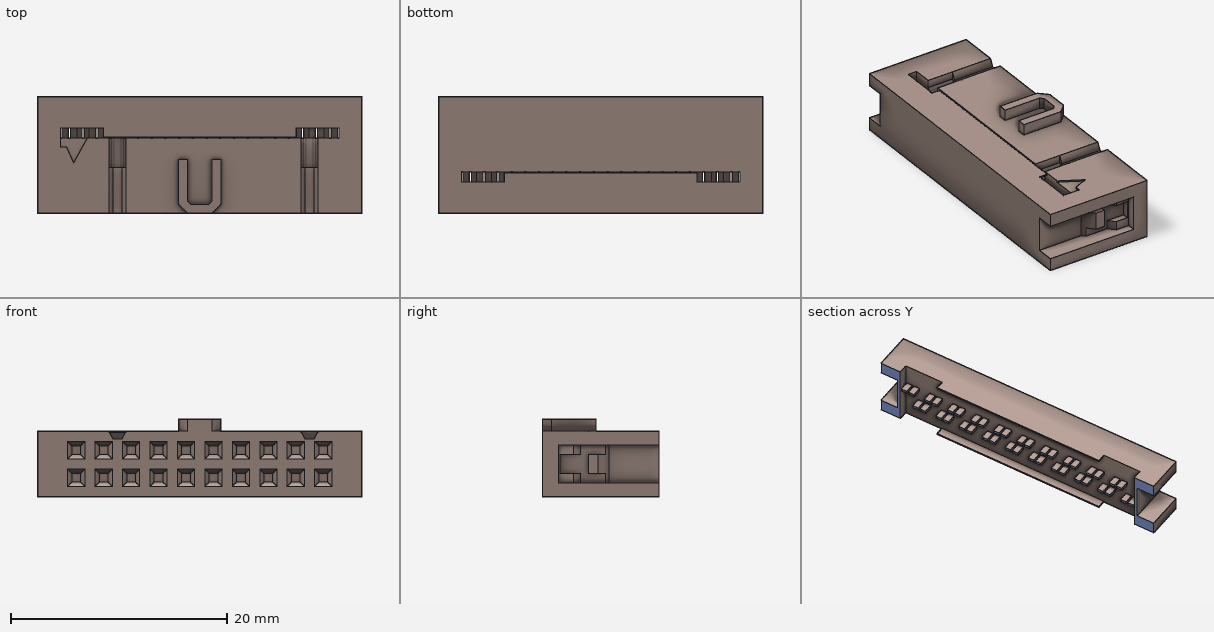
import cadquery as cq


LENGTH = 30.0
DEPTH = 10.8
HEIGHT = 7.2
BODY_HEIGHT = 6.1
PLATE = 1.3
MID_HEIGHT = BODY_HEIGHT / 2
HALF_LENGTH = LENGTH / 2

COLUMNS = 10
COLUMN_SPAN = 22.85
PITCH = COLUMN_SPAN / (COLUMNS - 1)
ROW_HEIGHTS = (MID_HEIGHT - PITCH / 2, MID_HEIGHT + PITCH / 2)

FUNNEL_MOUTH = 1.6
FUNNEL_FLOOR = 0.8
FUNNEL_DEPTH = (FUNNEL_MOUTH - FUNNEL_FLOOR) / 2

KEY_WIDTH = 3.93
KEY_LENGTH = 4.98
KEY_WALL = 0.85
KEY_INNER_CHAMFER = 0.3

GAP_FRONT = 6.95
GAP_BACK = 7.9
WINDOW_INNER_X = 8.9
WINDOW_OUTER_X = 12.87
SLIT_WIDTH = 0.1
LIP_THICKNESS = 0.12

FORK_WIDTH = 1.4
FORK_SLOT = 0.18
FORK_THICKNESS = 0.3
FORK_ROW_SPACING = 1.5

GROOVE_CENTRES = (-3 * PITCH, 4 * PITCH)
GROOVE_TOP = 1.6
GROOVE_FLOOR = 0.85
GROOVE_DEPTH = 0.72
DEEP_START = 4.25
DEEP_WALL = 0.78
DEEP_SLOPE_WIDTH = 0.33
DEEP_SLOPE_DROP = 0.35
DEEP_FILLET = 0.3

MARK_DEPTH = 0.15
MARK_SHOULDER = (-12.33, 6.15)
MARK_TIP = (-11.67, 4.68)
MARK_RIGHT = -10.4

RECESS_FRONT = 1.5
RAMP_START = 6.18
RAMP_END = 5.85
LATCH_BACK = 5.15
LATCH_FRONT = 4.25
STOP_BACK = 3.5
STOP_FRONT = 2.88
CHANNEL_FRONT = 1.65
CHANNEL_HEIGHT = 1.75
COVER_LEVEL = 1.8
WALL_LEVEL = COVER_LEVEL - (RAMP_START - RAMP_END)
LATCH_LEVEL = COVER_LEVEL - (RAMP_START - LATCH_BACK)
STOP_LEVEL = WALL_LEVEL - (STOP_BACK - STOP_FRONT)


def box(x_range, y_range, z_range):
    """Block between pairs of limits along X, Y and Z."""
    (x0, x1), (y0, y1), (z0, z1) = x_range, y_range, z_range
    return cq.Workplane("XY").box(x1 - x0, y1 - y0, z1 - z0, centered=False).translate((x0, y0, z0))


def key():
    half = KEY_WIDTH / 2
    inner = half - KEY_WALL
    right_side = [
        (inner, KEY_WALL + KEY_INNER_CHAMFER),
        (inner, KEY_LENGTH),
        (half, KEY_LENGTH),
        (half, KEY_WALL),
        (inner, 0),
    ]
    left_side = [(-x, y) for x, y in reversed(right_side)]
    inner_floor = inner - KEY_INNER_CHAMFER
    outline = right_side + left_side + [(-inner_floor, KEY_WALL), (inner_floor, KEY_WALL)]
    return (
        cq.Workplane("XY").workplane(offset=BODY_HEIGHT)
        .polyline(outline).close().extrude(HEIGHT - BODY_HEIGHT)
    )


def column_x(column):
    return -COLUMN_SPAN / 2 + column * PITCH


def funnels():
    """Square openings in the mating face that narrow to a flat floor."""
    centres = [(column_x(column), z) for column in range(COLUMNS) for z in ROW_HEIGHTS]
    cutters = cq.Workplane("XZ")
    for x, z in centres:
        funnel = (
            cq.Workplane("XZ").center(x, z).rect(FUNNEL_MOUTH, FUNNEL_MOUTH)
            .workplane(offset=-FUNNEL_DEPTH).rect(FUNNEL_FLOOR, FUNNEL_FLOOR)
            .loft(ruled=True)
        )
        cutters = cutters.add(funnel)
    return cutters.combine()


def groove(centre):
    """Trapezoidal groove from the mating face that turns into a deeper round-cornered one."""
    half_top = GROOVE_TOP / 2
    half_floor = GROOVE_FLOOR / 2
    top = BODY_HEIGHT
    front_floor = top - GROOVE_DEPTH
    front = (
        cq.Workplane("XZ")
        .polyline([(-half_top, top), (half_top, top), (half_floor, front_floor), (-half_floor, front_floor)])
        .close().extrude(-GAP_FRONT)
    )
    shoulder = top - DEEP_WALL
    deep_floor = shoulder - DEEP_SLOPE_DROP
    half_deep_floor = half_top - DEEP_SLOPE_WIDTH
    rear = (
        cq.Workplane("XZ").workplane(offset=-DEEP_START)
        .polyline([
            (-half_top, top),
            (half_top, top),
            (half_top, shoulder),
            (half_deep_floor, deep_floor),
            (-half_deep_floor, deep_floor),
            (-half_top, shoulder),
        ])
        .close().extrude(DEEP_START - GAP_FRONT)
        .edges("|Y and <Z").fillet(DEEP_FILLET)
    )
    return front.union(rear).translate((centre, 0, 0))


def forks():
    """Slotted contact ends: each row is shifted a quarter pitch, the two rows in opposite directions."""
    half_spacing = FORK_ROW_SPACING / 2
    plates = cq.Workplane("XY")
    for z, shift in ((MID_HEIGHT - half_spacing, PITCH / 4), (MID_HEIGHT + half_spacing, -PITCH / 4)):
        z_range = (z - FORK_THICKNESS / 2, z + FORK_THICKNESS / 2)
        for column in range(COLUMNS):
            x = column_x(column) + shift
            for side in (-1, 1):
                x_range = sorted((x + side * FORK_SLOT / 2, x + side * FORK_WIDTH / 2))
                plates = plates.add(box(x_range, (GAP_FRONT, GAP_BACK), z_range))
    return plates.combine()


def gap():
    """Gap across the part with its windows and slit, leaving the contact forks standing in it."""
    y_range = (GAP_FRONT, GAP_BACK)
    slit_y_range = (GAP_FRONT, GAP_FRONT + SLIT_WIDTH)
    full_height = (0, BODY_HEIGHT)
    window = box((WINDOW_INNER_X, WINDOW_OUTER_X), y_range, full_height)
    slit = box((-WINDOW_INNER_X, WINDOW_INNER_X), slit_y_range, full_height)
    interior = box((-WINDOW_OUTER_X, WINDOW_OUTER_X), y_range, (LIP_THICKNESS, BODY_HEIGHT - LIP_THICKNESS))
    return interior.union(slit).union(window).union(window.mirror("YZ")).cut(forks())


def pin_one_mark():
    outline = [
        (-WINDOW_OUTER_X, GAP_FRONT),
        (-WINDOW_OUTER_X, MARK_SHOULDER[1]),
        MARK_SHOULDER,
        MARK_TIP,
        (MARK_RIGHT, GAP_FRONT),
    ]
    return (
        cq.Workplane("XY").workplane(offset=BODY_HEIGHT - MARK_DEPTH)
        .polyline(outline).close().extrude(MARK_DEPTH)
    )


def recess_slice(levels, z_range):
    """Recess in the -X end; levels lists (depth, Y) along its inner surface from back to front."""
    outline = [(0, DEPTH)] + levels + [(0, RECESS_FRONT)]
    points = [(depth - HALF_LENGTH, y) for depth, y in outline]
    return (
        cq.Workplane("XY").workplane(offset=z_range[0])
        .polyline(points).close().extrude(z_range[1] - z_range[0])
    )


def end_recess():
    """Recess in the -X end: a latch at mid height and two stops above and below it."""
    cover = [(COVER_LEVEL, DEPTH), (COVER_LEVEL, RAMP_START)]
    stop_levels = cover + [
        (WALL_LEVEL, RAMP_END),
        (WALL_LEVEL, STOP_BACK),
        (STOP_LEVEL, STOP_FRONT),
        (STOP_LEVEL, RECESS_FRONT),
    ]
    latch_levels = cover + [
        (LATCH_LEVEL, LATCH_BACK),
        (LATCH_LEVEL, LATCH_FRONT),
        (WALL_LEVEL, LATCH_FRONT),
        (WALL_LEVEL, CHANNEL_FRONT),
        (STOP_LEVEL, CHANNEL_FRONT),
        (STOP_LEVEL, RECESS_FRONT),
    ]
    channel = (MID_HEIGHT - CHANNEL_HEIGHT / 2, MID_HEIGHT + CHANNEL_HEIGHT / 2)
    lower = recess_slice(stop_levels, (PLATE, channel[0]))
    middle = recess_slice(latch_levels, channel)
    upper = recess_slice(stop_levels, (channel[1], BODY_HEIGHT - PLATE))
    return lower.union(middle).union(upper)


body = box((-HALF_LENGTH, HALF_LENGTH), (0, DEPTH), (0, BODY_HEIGHT))
body = body.cut(funnels())
for groove_centre in GROOVE_CENTRES:
    body = body.cut(groove(groove_centre))
body = body.cut(gap()).cut(pin_one_mark())
left_recess = end_recess()
body = body.cut(left_recess).cut(left_recess.mirror("YZ"))
result = body.union(key())